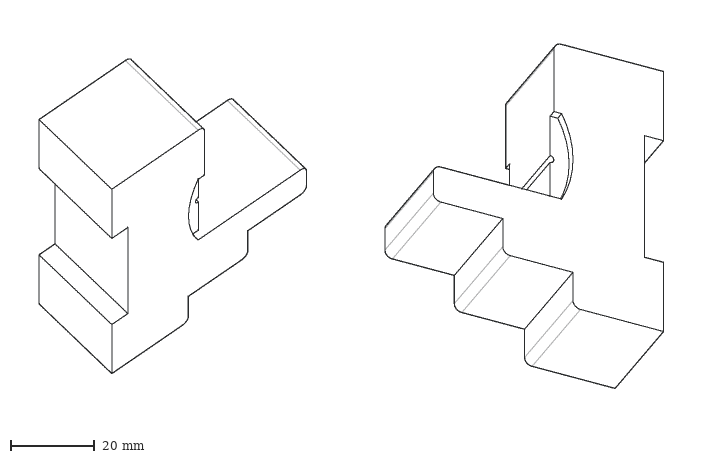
import cadquery as cq

width = 27.0
height = 75.0
reach = 61.0

step_rise = 10.1
foot_depth = 24.0
middle_depth = 42.6
ledge_top = 3 * step_rise
body_depth = 29.0

channel_depth = 5.0
channel_height = 35.0

edge_diameter = 4.0
edge_radius = edge_diameter / 2

recess_depth = 2.2
recess_top = (height + channel_height) / 2
recess_corner_y = 27.0
recess_bow_y = foot_depth
recess_middle = (ledge_top + recess_top) / 2

groove_radius = 1.0


def make_body():
    """Side outline extruded across the width, with the front edges rounded."""
    outline = [
        (0, 0),
        (foot_depth, 0),
        (foot_depth, step_rise),
        (middle_depth, step_rise),
        (middle_depth, 2 * step_rise),
        (reach, 2 * step_rise),
        (reach, ledge_top),
        (body_depth, ledge_top),
        (body_depth, height),
        (0, height),
    ]
    rounded_corners = [
        (foot_depth, 0),
        (middle_depth, step_rise),
        (reach, 2 * step_rise),
        (reach, ledge_top),
        (body_depth, height),
    ]
    body = cq.Workplane("YZ").polyline(outline).close().extrude(width / 2, both=True)
    for y, z in rounded_corners:
        corner_edge = cq.selectors.NearestToPointSelector((0, y, z))
        body = body.edges("|X").edges(corner_edge).fillet(edge_radius)
    return body


def make_channel():
    """Square-cornered channel cutter along X, open at both sides; half of it lies behind the back."""
    return (
        cq.Workplane("XY")
        .box(width, 2 * channel_depth, channel_height)
        .translate((0, 0, height / 2))
    )


def make_recess(side):
    """Recess cutter for the side face at +X (side = 1) or -X (side = -1)."""
    return (
        cq.Workplane("YZ", origin=(side * width / 2, 0, 0))
        .moveTo(body_depth, ledge_top)
        .lineTo(recess_corner_y, ledge_top)
        .threePointArc((recess_bow_y, recess_middle), (recess_corner_y, recess_top))
        .lineTo(body_depth, recess_top)
        .close()
        .extrude(-side * recess_depth)
    )


def make_groove():
    """Round cutter along X, centred on the front face."""
    return (
        cq.Workplane("YZ")
        .center(body_depth, recess_middle)
        .circle(groove_radius)
        .extrude(width / 2, both=True)
    )


result = make_body().cut(make_channel()).cut(make_groove())
for side in (-1, 1):
    result = result.cut(make_recess(side))